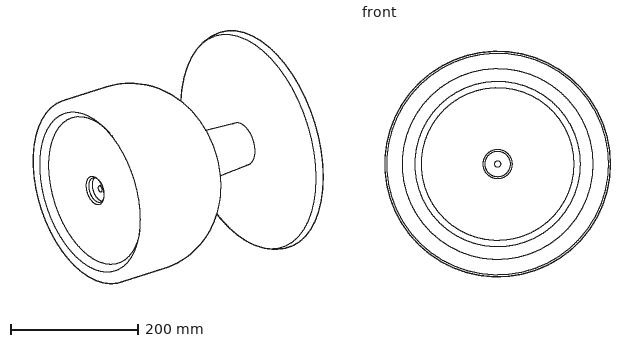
import cadquery as cq
import math


bowl_radius = 150.0
bowl_depth = 200.0
dome_radius = 110.0
dome_flat_radius = bowl_radius - dome_radius
rim_fillet = 4.0

recess_radius = 130.0
recess_floor_radius = 120.0
recess_depth = 10.0

socket_mouth_radius = 23.0
socket_radius = 20.0
socket_mouth_depth = 3.0
socket_depth = 10.0
cable_hole_radius = 5.0
cable_hole_depth = 10.0

stem_length = 100.0
stem_flange_radius = 34.5

flange_thickness = 26.0
flange_radius = 177.5
wall_plate_thickness = 12.0
wall_plate_front_radius = 174.2
cap_thickness = flange_thickness - wall_plate_thickness
cap_flat_radius = 146.0

rim_y = 0.0
recess_floor_y = rim_y + recess_depth
socket_step_y = recess_floor_y + socket_mouth_depth
socket_floor_y = recess_floor_y + socket_depth
cable_hole_end_y = socket_floor_y + cable_hole_depth
dome_top_y = rim_y + bowl_depth
dome_start_y = dome_top_y - dome_radius
cap_front_y = dome_top_y + stem_length
cap_back_y = cap_front_y + cap_thickness
wall_y = cap_back_y + wall_plate_thickness


def turn(profile):
    """Close a (radius, y) profile and revolve it a full turn about the Y axis."""
    return profile.close().revolve(360, (0, 0, 0), (0, 1, 0))


def arc_point(centre_radius, centre_y, arc_radius, angle):
    """Point on an arc; the angle in radians runs from the outward radial direction toward +Y."""
    return (
        centre_radius + arc_radius * math.cos(angle),
        centre_y + arc_radius * math.sin(angle),
    )


def tangent_arc_radius(along, away):
    """Radius of an arc that leaves a line tangentially and ends at these distances from its start."""
    return (along**2 + away**2) / (2 * away)


def make_lamp_body():
    rim_flat_radius = bowl_radius - rim_fillet
    rim_fillet_y = rim_y + rim_fillet
    rim_middle = arc_point(rim_flat_radius, rim_fillet_y, rim_fillet, -math.pi / 4)
    dome_middle = arc_point(dome_flat_radius, dome_start_y, dome_radius, math.pi / 4)

    cap_edge_width = wall_plate_front_radius - cap_flat_radius
    cap_edge_radius = tangent_arc_radius(cap_edge_width, cap_thickness)
    cap_edge_sweep = math.asin(cap_edge_width / cap_edge_radius)
    cap_edge_middle = arc_point(
        cap_flat_radius,
        cap_front_y + cap_edge_radius,
        cap_edge_radius,
        -math.pi / 2 + cap_edge_sweep / 2,
    )

    profile = (
        cq.Workplane("XY")
        .moveTo(0, cable_hole_end_y)
        .lineTo(cable_hole_radius, cable_hole_end_y)
        .lineTo(cable_hole_radius, socket_floor_y)
        .lineTo(socket_radius, socket_floor_y)
        .lineTo(socket_radius, socket_step_y)
        .lineTo(socket_mouth_radius, recess_floor_y)
        .lineTo(recess_floor_radius, recess_floor_y)
        .lineTo(recess_radius, rim_y)
        .lineTo(rim_flat_radius, rim_y)
        .threePointArc(rim_middle, (bowl_radius, rim_fillet_y))
        .lineTo(bowl_radius, dome_start_y)
        .threePointArc(dome_middle, (dome_flat_radius, dome_top_y))
        .lineTo(stem_flange_radius, cap_front_y)
        .lineTo(cap_flat_radius, cap_front_y)
        .threePointArc(cap_edge_middle, (wall_plate_front_radius, cap_back_y))
        .lineTo(0, cap_back_y)
    )
    return turn(profile)


def make_wall_plate():
    edge_inset = flange_radius - wall_plate_front_radius
    edge_radius = tangent_arc_radius(wall_plate_thickness, edge_inset)
    edge_sweep = math.asin(wall_plate_thickness / edge_radius)
    edge_middle = arc_point(flange_radius - edge_radius, wall_y, edge_radius, -edge_sweep / 2)

    profile = (
        cq.Workplane("XY")
        .moveTo(0, cap_back_y)
        .lineTo(wall_plate_front_radius, cap_back_y)
        .threePointArc(edge_middle, (flange_radius, wall_y))
        .lineTo(0, wall_y)
    )
    return turn(profile)


lamp_body = make_lamp_body()
wall_plate = make_wall_plate()

result = cq.Compound.makeCompound([lamp_body.val(), wall_plate.val()])